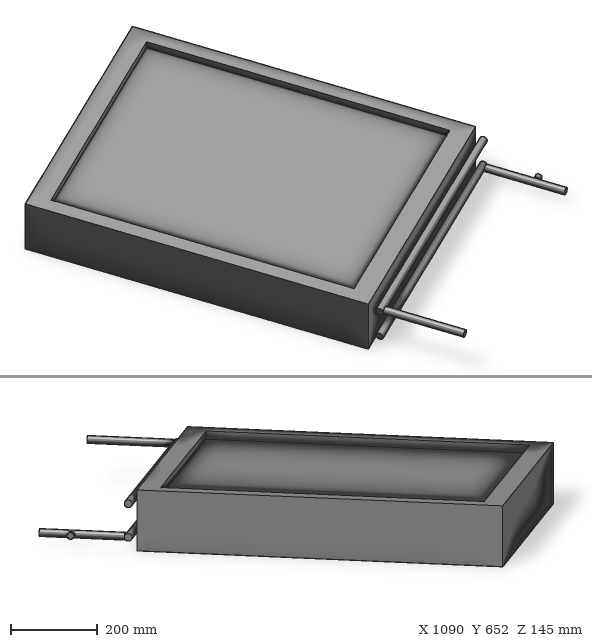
import cadquery as cq

TRAY_LENGTH = 860.0
TRAY_WIDTH = 640.0
TRAY_HEIGHT = 145.0
END_RIM = 50.0
SIDE_RIM = 35.0
POCKET_DEPTH = 20.0

OVERALL_LENGTH = 1090.0
ROD_DIAMETER = 19.0
ROD_RADIUS = ROD_DIAMETER / 2
ROD_GAP = 11.0
CROSSBAR_LENGTH = 620.0
LOWER_Z = 32.0
UPPER_Z = 111.0

CROSSBAR_X = TRAY_LENGTH + ROD_GAP + ROD_RADIUS
CROSSBAR_BACK_Y = TRAY_WIDTH
CROSSBAR_FRONT_Y = CROSSBAR_BACK_Y - CROSSBAR_LENGTH
ARM_START_X = CROSSBAR_X + ROD_RADIUS
ARM_LENGTH = OVERALL_LENGTH - ARM_START_X
FRONT_ARM_Y = CROSSBAR_FRONT_Y + ROD_RADIUS
BACK_ARM_Y = CROSSBAR_BACK_Y - ROD_RADIUS

KNOB_DIAMETER = 16.0
KNOB_LENGTH = 12.0
KNOB_FROM_ARM_END = 76.0

X_DIRECTION = cq.Vector(1, 0, 0)
Y_DIRECTION = cq.Vector(0, 1, 0)


def make_tray():
    block = cq.Workplane("XY").box(TRAY_LENGTH, TRAY_WIDTH, TRAY_HEIGHT, centered=False)
    pocket = (
        cq.Workplane("XY")
        .box(TRAY_LENGTH - 2 * END_RIM, TRAY_WIDTH - 2 * SIDE_RIM, POCKET_DEPTH, centered=False)
        .translate((END_RIM, SIDE_RIM, TRAY_HEIGHT - POCKET_DEPTH))
    )
    return block.cut(pocket)


def make_crossbar(z):
    """Rod along Y, parallel to the end of the tray."""
    start = cq.Vector(CROSSBAR_X, CROSSBAR_FRONT_Y, z)
    return cq.Solid.makeCylinder(ROD_RADIUS, CROSSBAR_LENGTH, start, Y_DIRECTION)


def make_arm(y, z):
    """Rod along X whose flat end touches the side of a crossbar."""
    start = cq.Vector(ARM_START_X, y, z)
    return cq.Solid.makeCylinder(ROD_RADIUS, ARM_LENGTH, start, X_DIRECTION)


def make_knob():
    """Short cylinder whose flat base touches the back of the lower arm."""
    start = cq.Vector(OVERALL_LENGTH - KNOB_FROM_ARM_END, BACK_ARM_Y + ROD_RADIUS, LOWER_Z)
    return cq.Solid.makeCylinder(KNOB_DIAMETER / 2, KNOB_LENGTH, start, Y_DIRECTION)


tray = make_tray()
crossbars = [make_crossbar(z) for z in (LOWER_Z, UPPER_Z)]
arms = [make_arm(y, z) for y, z in ((BACK_ARM_Y, LOWER_Z), (FRONT_ARM_Y, UPPER_Z))]
knob = make_knob()

result = cq.Compound.makeCompound([tray.val(), *crossbars, *arms, knob])